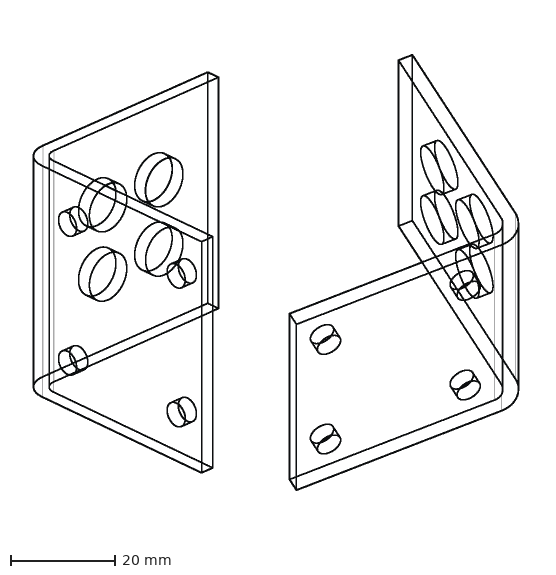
import cadquery as cq

leg_length = 50.0
height = 50.0
thickness = 3.0
inner_bend_radius = 3.0

mount_hole_diameter = 5.0
mount_hole_spacing = 30.0
large_hole_diameter = 10.0
large_hole_spacing = 15.0

outer_bend_radius = inner_bend_radius + thickness
flat_center = (outer_bend_radius + leg_length) / 2
mid_height = height / 2


def bent_plate():
    """L-shaped sheet with its outer corner at the origin and a rounded bend."""
    return (
        cq.Workplane("XY")
        .moveTo(outer_bend_radius, 0)
        .lineTo(leg_length, 0)
        .lineTo(leg_length, thickness)
        .lineTo(outer_bend_radius, thickness)
        .radiusArc((thickness, outer_bend_radius), inner_bend_radius)
        .lineTo(thickness, leg_length)
        .lineTo(0, leg_length)
        .lineTo(0, outer_bend_radius)
        .radiusArc((outer_bend_radius, 0), -outer_bend_radius)
        .close()
        .extrude(height)
    )


def hole_cutters(plane, spacing, diameter, depth):
    """Square pattern of four cylinders centred on the flat of one leg."""
    return (
        cq.Workplane(plane)
        .center(flat_center, mid_height)
        .rarray(spacing, spacing, 2, 2)
        .circle(diameter / 2)
        .extrude(depth)
    )


mount_holes = hole_cutters("XZ", mount_hole_spacing, mount_hole_diameter, -thickness)
large_holes = hole_cutters("YZ", large_hole_spacing, large_hole_diameter, thickness)

result = bent_plate().cut(mount_holes).cut(large_holes)